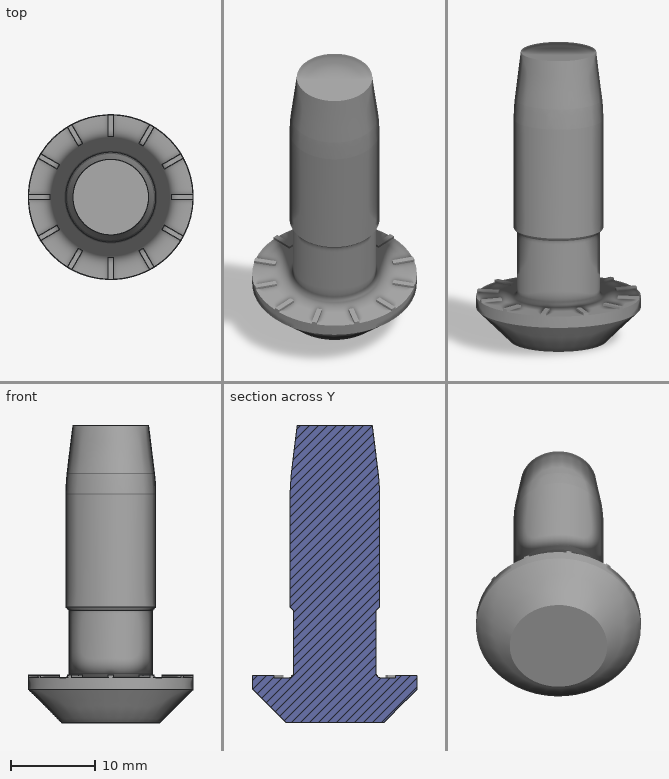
import cadquery as cq
import math

head_radius = 9.8
cone_height = 4.0
cone_base_radius = head_radius - cone_height
disc_thickness = 1.4
disc_top = cone_height + disc_thickness

total_height = 35.4
neck_radius = 4.95
neck_fillet = 0.5
shank_radius = 5.35
shoulder_chamfer = shank_radius - neck_radius
shoulder_z = 13.8
lead_in_length = 8.2
lead_in_angle = math.radians(7)
blend_radius = 20.0

rib_count = 12
rib_width = 0.6
rib_height = 0.3
rib_length = 2.6


def make_body():
    """Revolve the half profile of head and shank about Z."""
    blend_start_z = total_height - lead_in_length

    def blend_point(angle):
        """Point (radius, height) on the arc from the shank to the lead-in cone."""
        radius = shank_radius - blend_radius * (1 - math.cos(angle))
        return radius, blend_start_z + blend_radius * math.sin(angle)

    blend_end_radius, blend_end_z = blend_point(lead_in_angle)
    tip_radius = blend_end_radius - (total_height - blend_end_z) * math.tan(lead_in_angle)

    fillet_middle_offset = neck_fillet * (1 - math.sqrt(0.5))
    fillet_middle = (neck_radius + fillet_middle_offset, disc_top + fillet_middle_offset)

    profile = (
        cq.Workplane("XZ")
        .moveTo(0, 0)
        .lineTo(cone_base_radius, 0)
        .lineTo(head_radius, cone_height)
        .lineTo(head_radius, disc_top)
        .lineTo(neck_radius + neck_fillet, disc_top)
        .threePointArc(fillet_middle, (neck_radius, disc_top + neck_fillet))
        .lineTo(neck_radius, shoulder_z - shoulder_chamfer)
        .lineTo(shank_radius, shoulder_z)
        .lineTo(shank_radius, blend_start_z)
        .threePointArc(blend_point(lead_in_angle / 2), (blend_end_radius, blend_end_z))
        .lineTo(tip_radius, total_height)
        .lineTo(0, total_height)
        .close()
    )
    return profile.revolve(360, (0, 0, 0), (0, 1, 0))


def make_ribs():
    """Ribs pointing at the axis, with outer ends flush with the rim of the disc."""
    rib_centre_radius = head_radius - rib_length / 2
    bars = (
        cq.Workplane("XY")
        .workplane(offset=disc_top)
        .polarArray(rib_centre_radius, 0, 360, rib_count)
        .rect(rib_length, rib_width)
        .extrude(rib_height)
    )
    rim = cq.Workplane("XY").circle(head_radius).extrude(total_height)
    return bars.intersect(rim)


result = make_body().union(make_ribs())